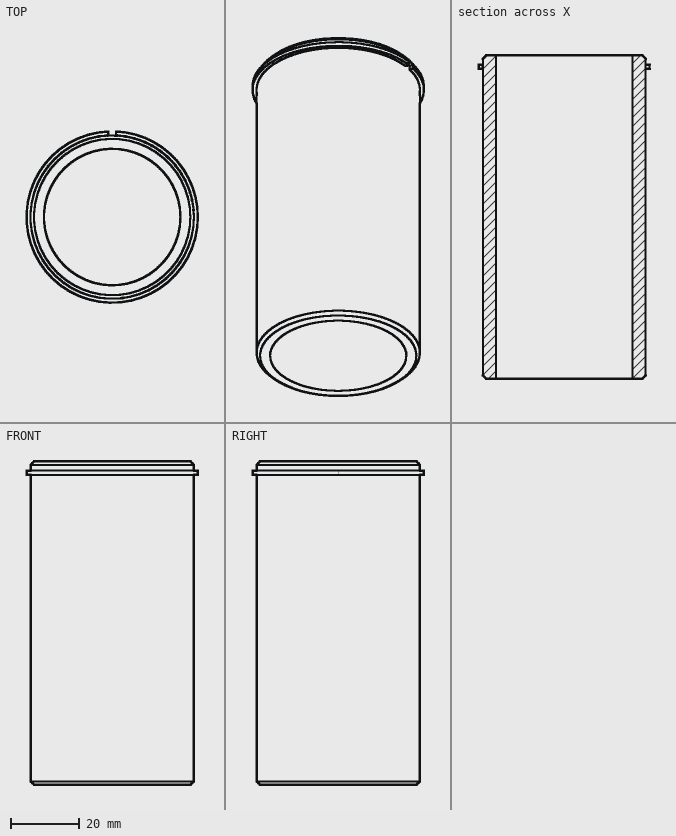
import cadquery as cq

sleeve_length = 95.0
sleeve_diameter = 48.0
bore_diameter = 40.0
end_chamfer = 1.0

ring_diameter = 50.35
ring_thickness = 1.2
ring_top_setback = 2.8
ring_gap = 2.2
ring_bottom = sleeve_length - ring_top_setback - ring_thickness


def make_sleeve():
    """Plain tube standing on the XY plane, with both outer rims chamfered."""
    body = cq.Workplane("XY").circle(sleeve_diameter / 2).extrude(sleeve_length)
    body = body.faces("<Z or >Z").chamfer(end_chamfer)
    bore = cq.Workplane("XY").circle(bore_diameter / 2).extrude(sleeve_length)
    return body.cut(bore)


def make_retaining_ring():
    """Flat ring hugging the sleeve near its top, split on the +Y side."""
    ring_plane = cq.Workplane("XY", origin=(0, 0, ring_bottom))
    ring = (
        ring_plane.circle(ring_diameter / 2)
        .circle(sleeve_diameter / 2)
        .extrude(ring_thickness)
    )
    split = ring_plane.rect(ring_gap, ring_diameter).extrude(ring_thickness)
    split = split.translate((0, ring_diameter / 2, 0))
    return ring.cut(split)


sleeve = make_sleeve()
retaining_ring = make_retaining_ring()

result = cq.Compound.makeCompound([sleeve.val(), *retaining_ring.vals()])